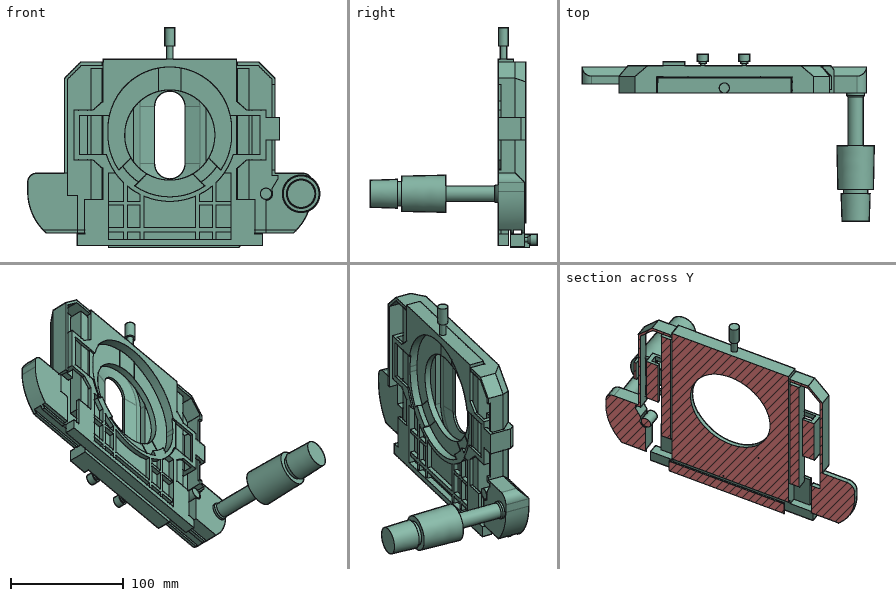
import cadquery as cq
import math


HOUSING_HALF_WIDTH = 93.6
HOUSING_TOP = 64.9
HOUSING_BOTTOM = -78.0
HOUSING_DEPTH = 24.5
CORNER_BEVEL = 14.4
SIDE_WALL = 2.6
TOP_WALL = 3.3
FLOOR_Y = 14.6
REAR_BEVEL_Y = 15.0
REAR_BEVEL = 7.9
WALL_NOTCH_TOP = 44.7
WALL_NOTCH_BOTTOM = -30.9
WALL_NOTCH_DEPTH = 2.4

LOBE_HALF_WIDTH = 126.4
LOBE_TOP = -33.8
LOBE_BOTTOM = -87.1
LOBE_FRONT_LEFT = 8.0
LOBE_BACK = 23.4
LOBE_CORNER_RADIUS = 8.5
LOBE_SIDE_RADIUS = 50.0
LOBE_SIDE_CENTRE_Z = -50.0
LOBE_REAR_BEVEL = 8.2
LIP_TOP = -84.5
LIP_RANGES = ((11.0, 13.7), (20.8, LOBE_BACK))
RECESS_STEP_Z = -53.7
RECESS_LOWER_LEFT_X = -82.0
LEDGE_X = 96.1
LEDGE_TOP = -36.2
LEDGE_BOTTOM = -39.0
LEDGE_SLOPE_END = -47.5

KNOB_X = 116.7
KNOB_Z = -52.2
SHAFT_RADIUS = 7.0
SHAFT_COLLAR_RADIUS = 8.0
SHAFT_COLLAR_Y = -1.9
SHAFT_CONE_Y = -3.4
COARSE_KNOB_START = -46.6
COARSE_KNOB_END = -85.8
COARSE_KNOB_RADII = (16.72, 15.9)
KNOB_NECK_RADIUS = 11.0
FINE_KNOB_START = -89.3
FINE_KNOB_END = -113.82
FINE_KNOB_RADII = (13.0, 12.2)
LEVER_PIN_X = 85.5
LEVER_PIN_DIA = 10.0
LEVER_CLEARANCE_RADIUS = 5.9

RAIL_INNER_X = 60.2
RAIL_OUTER_X = 70.2
RAIL_TOP = 59.1
RAIL_BOTTOM = -61.3
RAIL_FRONT = 2.4

SLOT_HALF_LENGTH = 25.5
SLOT_RADIUS = 13.4
SLOT_TAPER_RADIUS = 26.7
SLOT_RECESS_RADIUS = 32.2
SLOT_RECESS_FLOOR = 19.8
SLOT_TAPER_END = 22.4

PLATE_HALF_WIDTH = 59.3
PLATE_TOP = 67.4
PLATE_BACK = 13.7
PLATE_LOWER_BACK = 9.3
PLATE_SKIN = 2.7
ARM_HALF_WIDTH = 85.3
ARM_HALF_HEIGHT = 22.2
ARM_GUSSET_X = 68.2
ARM_GUSSET_Z = 30.2
ARM_FRAME = 5.0
FOOT_HALF_WIDTH = 75.6
FOOT_TOP = -57.1
BAR_HALF_WIDTH = 82.4
BAR_TOP = -87.8
PLATE_BOTTOM = -98.2
HOOK_WALL_X = 81.0
HOOK_INNER_X = 73.1
HOOK_FRONT = 9.5

OPENING_DIA = 80.2
SEAT_RADIUS = 55.0
SEAT_SHIFT = 5.5
SEAT_DEPTH = 8.4
RIM_RADIUS = 59.0
RIM_Y = 1.4
PAD_WIDTH = 20.0
PAD_HEIGHT = 0.4
PAD_RADIUS = 50.2
TOP_PAD_ANGLE = 90
DIAGONAL_PAD_ANGLES = (225, 315)

POCKET_HALF_WIDTH = 54.4
POCKET_TOP = LOBE_TOP
POCKET_BOTTOM = -93.0
POCKET_FLOOR = 5.4
UPRIGHT_RIBS = ((37.8, 41.2), (22.9, 26.6))
CROSS_RIBS = ((-62.1, -58.9), (-86.3, -82.3))
INNER_UPRIGHT_X = UPRIGHT_RIBS[1][0]

TAB_X = 97.7
TAB_TOP = 15.6
TAB_BOTTOM = -4.6
TAB_CLEARANCE = 1.6
TAB_FRONT_THICKNESS = 3.2
TAB_BEVEL = (3.0, 4.2)

TOP_PIN_Y = 4.6
TOP_PIN_NECK_DIA = 6.0
TOP_PIN_HEAD_DIA = 9.0
TOP_PIN_NECK_TOP = 79.1
TOP_PIN_TOP = 95.4

BLOCK_LEFT = -54.5
BLOCK_RIGHT = 53.3
BLOCK_TIP_RIGHT = 62.2
BLOCK_TIP_BEVEL = 1.0
BLOCK_FRONT = 10.8
BLOCK_TOP = -88.0
BLOCK_BOTTOM = -100.1
BLOCK_EAR_RIGHT = -35.0
BLOCK_EAR_BACK = 28.0
SCREW_XS = (-19.1, 17.7)
SCREW_Z = -93.1
SCREW_SHANK_RADIUS = 2.0
SCREW_COLLAR_RADIUS = 3.5
SCREW_HEAD_RADIUS = 5.0
SCREW_COLLAR_Y = 26.6
SCREW_HEAD_Y = 28.3
SCREW_END = 34.8


def box(x_range, y_range, z_range):
    """Axis-aligned box between the given limits."""
    size = [limits[1] - limits[0] for limits in (x_range, y_range, z_range)]
    corner = (x_range[0], y_range[0], z_range[0])
    return cq.Workplane("XY").box(*size, centered=False).translate(corner)


def face_plane(y):
    """Workplane parallel to the front face, at depth y; local axes are X and Z."""
    return cq.Workplane("XZ", origin=(0, y, 0))


def prism(points, y_range):
    """Polygon in X, Z running through the given depths."""
    return face_plane(y_range[0]).polyline(points).close().extrude(y_range[0] - y_range[1])


def disc(x, z, radius, y_range):
    """Cylinder along Y."""
    return face_plane(y_range[0]).center(x, z).circle(radius).extrude(y_range[0] - y_range[1])


def upright_slot(radius, y_range, z_low, z_high):
    """Vertical round-ended slot; z_low and z_high are the centres of its ends."""
    body = box((-radius, radius), y_range, (z_low, z_high))
    return body.union(disc(0, z_low, radius, y_range)).union(disc(0, z_high, radius, y_range))


def turned(x, z, profile):
    """Solid of revolution about an axis along Y; profile lists (radius, y) points."""
    outline = [(0, profile[0][1])] + list(profile) + [(0, profile[-1][1])]
    solid = cq.Workplane("XY").polyline(outline).close().revolve(360, (0, 0, 0), (0, 1, 0))
    return solid.translate((x, 0, z))


def mirrored(solid):
    """The solid together with its mirror image across X = 0."""
    return solid.union(solid.mirror("YZ"))


def housing_outline(inset, bottom):
    """Housing contour with its sides and corner bevels moved inward by inset."""
    half = HOUSING_HALF_WIDTH - inset
    bevel_sum = HOUSING_HALF_WIDTH + HOUSING_TOP - CORNER_BEVEL - inset * math.sqrt(2)
    right = [(half, bottom), (half, bevel_sum - half), (bevel_sum - HOUSING_TOP, HOUSING_TOP)]
    return right + [(-x, z) for x, z in reversed(right)]


def housing_shell():
    front = prism(housing_outline(0, LOBE_TOP), (0, REAR_BEVEL_Y))
    rear = (
        face_plane(REAR_BEVEL_Y)
        .polyline(housing_outline(0, HOUSING_BOTTOM)).close()
        .workplane(offset=REAR_BEVEL_Y - HOUSING_DEPTH)
        .polyline(housing_outline(REAR_BEVEL, HOUSING_BOTTOM)).close()
        .loft(ruled=True)
    )
    return front.union(rear)


def right_lobe(front):
    """Right lobe and the right half of the lower housing, from the given depth back."""
    arc_centre_x = LOBE_HALF_WIDTH - LOBE_SIDE_RADIUS
    drop = LOBE_SIDE_CENTRE_Z - LOBE_BOTTOM
    end_angle = math.asin(drop / LOBE_SIDE_RADIUS)
    end_x = arc_centre_x + LOBE_SIDE_RADIUS * math.cos(end_angle)
    mid_x = arc_centre_x + LOBE_SIDE_RADIUS * math.cos(end_angle / 2)
    mid_z = LOBE_SIDE_CENTRE_Z - LOBE_SIDE_RADIUS * math.sin(end_angle / 2)
    lobe = (
        face_plane(front)
        .moveTo(0, LOBE_TOP)
        .lineTo(LOBE_HALF_WIDTH - LOBE_CORNER_RADIUS, LOBE_TOP)
        .radiusArc((LOBE_HALF_WIDTH, LOBE_TOP - LOBE_CORNER_RADIUS), LOBE_CORNER_RADIUS)
        .lineTo(LOBE_HALF_WIDTH, LOBE_SIDE_CENTRE_Z)
        .threePointArc((mid_x, mid_z), (end_x, LOBE_BOTTOM))
        .lineTo(0, LOBE_BOTTOM)
        .close()
        .extrude(front - LOBE_BACK)
    )
    bevel = (
        cq.Workplane("YZ")
        .polyline([
            (LOBE_BACK, LOBE_TOP),
            (LOBE_BACK - LOBE_REAR_BEVEL, LOBE_TOP),
            (LOBE_BACK, LOBE_TOP - LOBE_REAR_BEVEL),
        ])
        .close()
        .extrude(LOBE_HALF_WIDTH)
    )
    return lobe.cut(bevel)


def lower_body():
    body = right_lobe(0).union(right_lobe(LOBE_FRONT_LEFT).mirror("YZ"))
    relief_limits = (0,) + LIP_RANGES[0] + LIP_RANGES[1][:1]
    for near, far in (relief_limits[:2], relief_limits[2:]):
        body = body.cut(box((-LOBE_HALF_WIDTH, LOBE_HALF_WIDTH), (near, far), (LOBE_BOTTOM, LIP_TOP)))
    return body


def front_recess():
    """Cavity of the housing, open to the front and through the bottom edge."""
    inner = HOUSING_HALF_WIDTH - SIDE_WALL
    ceiling = HOUSING_TOP - TOP_WALL
    bevel_sum = HOUSING_HALF_WIDTH + HOUSING_TOP - CORNER_BEVEL - SIDE_WALL * math.sqrt(2)
    points = [
        (-inner, RECESS_STEP_Z),
        (-inner, bevel_sum - inner),
        (ceiling - bevel_sum, ceiling),
        (bevel_sum - ceiling, ceiling),
        (inner, bevel_sum - inner),
        (inner, LEDGE_TOP),
        (LEDGE_X, LEDGE_TOP),
        (LEDGE_X, LEDGE_BOTTOM),
        (inner, LEDGE_SLOPE_END),
        (inner, KNOB_Z),
        (LEVER_PIN_X, KNOB_Z),
        (LEVER_PIN_X, LOBE_BOTTOM),
        (RECESS_LOWER_LEFT_X, LOBE_BOTTOM),
        (RECESS_LOWER_LEFT_X, RECESS_STEP_Z),
    ]
    depth = (0, FLOOR_Y)
    plate_channel = box((-RAIL_INNER_X, RAIL_INNER_X), depth, (LOBE_BOTTOM, HOUSING_TOP))
    lever_clearance = disc(LEVER_PIN_X, KNOB_Z, LEVER_CLEARANCE_RADIUS, depth)
    return prism(points, depth).union(plate_channel).union(lever_clearance)


def floor_slot():
    """Round-ended slot: a recess, a tapered middle and a straight exit."""
    ends = (-SLOT_HALF_LENGTH, SLOT_HALF_LENGTH)
    slot = upright_slot(SLOT_RADIUS, (FLOOR_Y, HOUSING_DEPTH), *ends)
    slot = slot.union(upright_slot(SLOT_RECESS_RADIUS, (FLOOR_Y, SLOT_RECESS_FLOOR), *ends))
    taper = [(SLOT_TAPER_RADIUS, SLOT_RECESS_FLOOR), (SLOT_RADIUS, SLOT_TAPER_END)]
    for z in ends:
        slot = slot.union(turned(0, z, taper))
    section = taper + [(-radius, y) for radius, y in reversed(taper)]
    middle = cq.Workplane("XY", origin=(0, 0, -SLOT_HALF_LENGTH)).polyline(section).close()
    return slot.union(middle.extrude(2 * SLOT_HALF_LENGTH))


def housing():
    body = housing_shell().union(lower_body())
    wall_notch = box(
        (HOUSING_HALF_WIDTH - SIDE_WALL, HOUSING_HALF_WIDTH),
        (0, WALL_NOTCH_DEPTH),
        (WALL_NOTCH_BOTTOM, WALL_NOTCH_TOP),
    )
    body = body.cut(front_recess()).cut(wall_notch)
    rail = box((RAIL_INNER_X, RAIL_OUTER_X), (RAIL_FRONT, FLOOR_Y), (RAIL_BOTTOM, RAIL_TOP))
    body = body.union(mirrored(rail)).cut(floor_slot())
    return body.union(disc(LEVER_PIN_X, KNOB_Z, LEVER_PIN_DIA / 2, (0, FLOOR_Y)))


def plate_blank():
    """Plate with side arms, feet and bottom bar, before the front is machined."""
    width = (-PLATE_HALF_WIDTH, PLATE_HALF_WIDTH)
    blank = box(width, (0, PLATE_BACK), (LIP_TOP, PLATE_TOP))
    blank = blank.union(box(width, (0, PLATE_LOWER_BACK), (PLATE_BOTTOM, LIP_TOP)))
    arm_half = [
        (0, ARM_GUSSET_Z),
        (PLATE_HALF_WIDTH, ARM_GUSSET_Z),
        (ARM_GUSSET_X, ARM_HALF_HEIGHT),
        (ARM_HALF_WIDTH, ARM_HALF_HEIGHT),
    ]
    arms = prism(arm_half + [(x, -z) for x, z in reversed(arm_half)], (0, RAIL_FRONT))
    feet = box((0, FOOT_HALF_WIDTH), (0, PLATE_SKIN), (PLATE_BOTTOM, FOOT_TOP))
    bar = box((0, BAR_HALF_WIDTH), (0, PLATE_LOWER_BACK), (PLATE_BOTTOM, BAR_TOP))
    arm_height = (-ARM_HALF_HEIGHT, ARM_HALF_HEIGHT)
    hook_wall = box((HOOK_WALL_X, ARM_HALF_WIDTH), (0, FLOOR_Y), arm_height)
    hook_foot = box((HOOK_INNER_X, ARM_HALF_WIDTH), (HOOK_FRONT, FLOOR_Y), arm_height)
    return blank.union(mirrored(arms.union(feet).union(bar).union(hook_wall).union(hook_foot)))


def arm_windows():
    """Openings in the arms; over the plate itself they are only a shallow recess."""
    half_height = ARM_HALF_HEIGHT - ARM_FRAME
    height = (-half_height, half_height)
    opening = box((PLATE_HALF_WIDTH, ARM_HALF_WIDTH - ARM_FRAME), (0, RAIL_FRONT), height)
    recess = box((0, PLATE_HALF_WIDTH), (0, RIM_Y), height)
    rim = disc(0, 0, RIM_RADIUS, (0, RIM_Y)).intersect(
        box((-RIM_RADIUS, RIM_RADIUS), (0, RIM_Y), (-RIM_RADIUS, half_height))
    )
    return mirrored(opening.union(recess)).union(rim)


def pad_strip(angle, front):
    """Radial strip as wide as a pad, from the given depth down to the seat floor."""
    strip = box((0, 2 * SEAT_RADIUS), (front, SEAT_DEPTH), (-PAD_WIDTH / 2, PAD_WIDTH / 2))
    return strip.rotate((0, 0, 0), (0, 1, 0), -angle)


def seat():
    """Round seat with three pads and its opening; the wall is undercut at the diagonal pads."""
    depth = (0, SEAT_DEPTH)
    pad_front = SEAT_DEPTH - PAD_HEIGHT
    cavity = upright_slot(SEAT_RADIUS, depth, 0, SEAT_SHIFT)
    cavity = cavity.cut(pad_strip(TOP_PAD_ANGLE, pad_front))
    undercut = turned(0, 0, [(PAD_RADIUS, RIM_Y), (SEAT_RADIUS, SEAT_DEPTH)])
    for angle in DIAGONAL_PAD_ANGLES:
        stop = pad_strip(angle, RIM_Y).cut(undercut)
        cavity = cavity.cut(stop).cut(pad_strip(angle, pad_front))
    return cavity.union(disc(0, 0, OPENING_DIA / 2, (0, PLATE_BACK)))


def ribbed_pocket():
    """Volume removed around the ribs below the seat."""
    width = (-POCKET_HALF_WIDTH, POCKET_HALF_WIDTH)
    depth = (0, POCKET_FLOOR)
    pocket = box(width, depth, (POCKET_BOTTOM, POCKET_TOP))
    upper, lower = CROSS_RIBS
    pocket = pocket.cut(box(width, (RIM_Y, POCKET_FLOOR), lower))
    side_rib = box((INNER_UPRIGHT_X, POCKET_HALF_WIDTH), (RIM_Y, POCKET_FLOOR), upper)
    pocket = pocket.cut(mirrored(side_rib))
    for limits in UPRIGHT_RIBS:
        upright = box(limits, (RIM_Y, POCKET_FLOOR), (POCKET_BOTTOM, POCKET_TOP))
        pocket = pocket.cut(mirrored(upright))
    return pocket.cut(disc(0, 0, RIM_RADIUS, depth))


def latch_tab():
    """Tab that hooks around the right wall of the housing with a small clearance."""
    inner_x = HOUSING_HALF_WIDTH + TAB_CLEARANCE
    tail_x = HOUSING_HALF_WIDTH - REAR_BEVEL
    section = [
        (HOOK_WALL_X, 0),
        (TAB_X, 0),
        (TAB_X, HOUSING_DEPTH - TAB_BEVEL[1]),
        (TAB_X - TAB_BEVEL[0], HOUSING_DEPTH),
        (tail_x, HOUSING_DEPTH),
        (inner_x, REAR_BEVEL_Y),
        (inner_x, TAB_FRONT_THICKNESS),
        (HOOK_WALL_X, TAB_FRONT_THICKNESS),
    ]
    tab = cq.Workplane("XY", origin=(0, 0, TAB_BOTTOM)).polyline(section).close()
    return tab.extrude(TAB_TOP - TAB_BOTTOM)


def locking_pin():
    base = cq.Workplane("XY", origin=(0, TOP_PIN_Y, PLATE_TOP))
    neck = base.circle(TOP_PIN_NECK_DIA / 2).extrude(TOP_PIN_NECK_TOP - PLATE_TOP)
    return neck.faces(">Z").workplane().circle(TOP_PIN_HEAD_DIA / 2).extrude(TOP_PIN_TOP - TOP_PIN_NECK_TOP)


def sliding_plate():
    plate = plate_blank().cut(arm_windows()).cut(seat()).cut(ribbed_pocket())
    return plate.union(latch_tab()).union(locking_pin())


def control_knob():
    """Shaft with a collar and two coaxial, slightly tapered knobs."""
    profile = [
        (SHAFT_COLLAR_RADIUS, 0),
        (SHAFT_COLLAR_RADIUS, SHAFT_COLLAR_Y),
        (SHAFT_RADIUS, SHAFT_CONE_Y),
        (SHAFT_RADIUS, COARSE_KNOB_START),
        (COARSE_KNOB_RADII[0], COARSE_KNOB_START),
        (COARSE_KNOB_RADII[1], COARSE_KNOB_END),
        (KNOB_NECK_RADIUS, COARSE_KNOB_END),
        (KNOB_NECK_RADIUS, FINE_KNOB_START),
        (FINE_KNOB_RADII[0], FINE_KNOB_START),
        (FINE_KNOB_RADII[1], FINE_KNOB_END),
    ]
    return turned(KNOB_X, KNOB_Z, profile)


def clamp_block():
    height = (BLOCK_BOTTOM, BLOCK_TOP)
    lip = LIP_RANGES[1]
    block = box((BLOCK_LEFT, BLOCK_RIGHT), (BLOCK_FRONT, LOBE_BACK), height)
    tip = box((BLOCK_RIGHT, BLOCK_TIP_RIGHT), (BLOCK_FRONT, LOBE_BACK), height)
    tip = tip.faces(">X").edges("<Z").chamfer(BLOCK_TIP_BEVEL)
    ear = box((BLOCK_LEFT, BLOCK_EAR_RIGHT), (BLOCK_FRONT, BLOCK_EAR_BACK), height)
    web = box((BLOCK_LEFT, BLOCK_TIP_RIGHT), lip, (BLOCK_TOP, LOBE_BOTTOM))
    return block.union(tip).union(ear).union(web)


def screw(x):
    profile = [
        (SCREW_SHANK_RADIUS, LOBE_BACK),
        (SCREW_SHANK_RADIUS, SCREW_COLLAR_Y),
        (SCREW_COLLAR_RADIUS, SCREW_COLLAR_Y),
        (SCREW_COLLAR_RADIUS, SCREW_HEAD_Y),
        (SCREW_HEAD_RADIUS, SCREW_HEAD_Y),
        (SCREW_HEAD_RADIUS, SCREW_END),
    ]
    return turned(x, SCREW_Z, profile)


result = housing().union(sliding_plate()).union(control_knob()).union(clamp_block())
for screw_x in SCREW_XS:
    result = result.union(screw(screw_x))